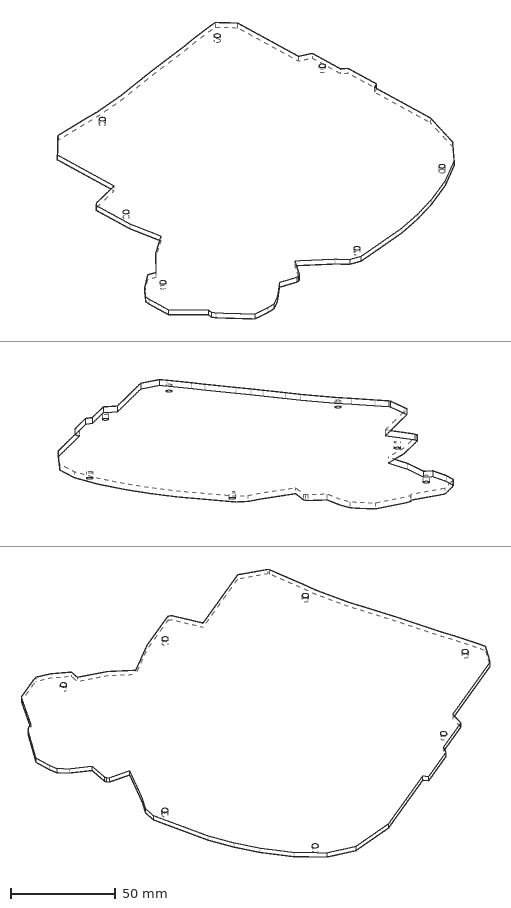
import cadquery as cq

length_x = 173.31
length_y = 197.92
thickness = 3.0
hole_diameter = 3.0

right = length_x / 2
left = -right
top = length_y / 2
bottom = -top

left_shoulder_y = 90.2
upper_shoulder_y = 96.3
lower_left_y = -44.1
lower_step_y = -61.2

top_edge = [
    (left, 83.4),
    (-78.4, left_shoulder_y),
    (-39.3, left_shoulder_y),
    (-35.9, upper_shoulder_y),
    (-17.7, upper_shoulder_y),
    (-15.3, top),
    (2.9, top),
    (4.0, upper_shoulder_y),
    (39.8, upper_shoulder_y),
]

right_sweep = [
    (60.4, 89.3),
    (70.5, 79.0),
    (77.6, 64.7),
    (82.5, 49.0),
    (85.1, 36.2),
    (right, 23.0),
]

right_side = [
    (right, -6.4),
    (84.2, -11.9),
    (78.8, -16.4),
    (65.3, -30.2),
]

lower_lobe = [
    (74.0, -36.7),
    (74.5, -37.9),
    (74.5, -39.0),
    (70.9, -47.6),
    (77.4, -56.4),
    (80.0, -61.8),
    (79.8, -66.0),
    (78.4, -74.0),
    (63.9, -85.7),
    (61.8, -86.7),
    (59.7, -86.3),
    (45.4, bottom),
    (32.9, bottom),
    (30.4, -98.7),
    (25.2, -93.6),
    (19.6, -85.2),
    (21.4, -81.1),
    (11.3, -70.0),
]

lower_steps = [
    (4.4, -58.4),
    (-13.0, lower_step_y),
    (-34.7, lower_step_y),
    (-35.9, -59.6),
    (-38.4, lower_left_y),
    (-74.8, lower_left_y),
    (-75.7, -42.8),
    (-84.4, -32.9),
    (-84.6, -32.1),
]

left_hollow = [
    (-84.1, -25.3),
    (-83.4, -13.7),
    (-82.7, -6.2),
    (-82.7, 11.6),
    (-83.3, 19.2),
    (-84.1, 30.8),
    (-84.5, 37.0),
    (-84.8, 44.5),
    (-85.5, 60.3),
    (-86.1, 67.1),
    (left, 79.5),
]

hole_centers = [
    (-79.1, 76.3),
    (-25.8, 92.2),
    (69.0, 71.8),
    (81.0, -3.1),
    (-77.1, -8.9),
    (-20.6, -55.4),
    (29.0, -84.7),
]


def make_plate():
    outline = top_edge + right_sweep + right_side + lower_lobe + lower_steps + left_hollow
    return cq.Workplane("XY").polyline(outline).close().extrude(thickness)


def make_hole_cutters():
    return cq.Workplane("XY").pushPoints(hole_centers).circle(hole_diameter / 2).extrude(thickness)


result = make_plate().cut(make_hole_cutters())